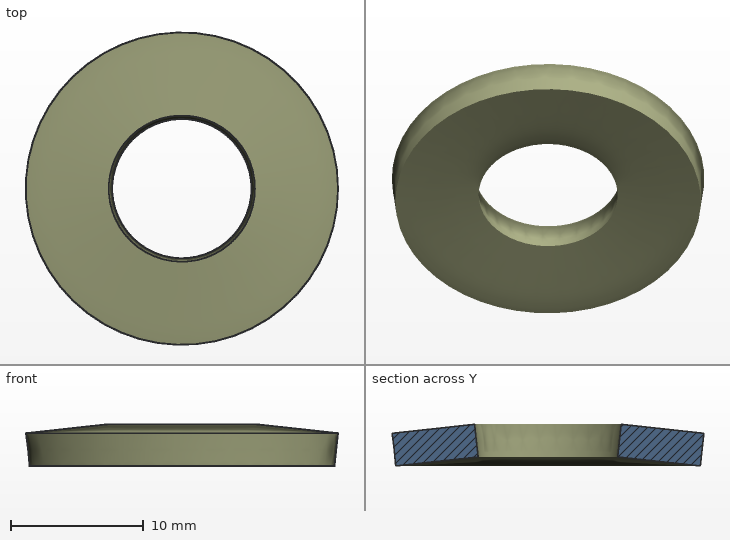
import cadquery as cq

outer_radius = 11.78
top_inner_radius = 5.51
overall_height = 3.18
cone_rise = 0.68

rim_height = overall_height - cone_rise
wall_lean = rim_height * cone_rise / (outer_radius - top_inner_radius)

section = [
    (outer_radius - wall_lean, 0),
    (outer_radius, rim_height),
    (top_inner_radius, overall_height),
    (top_inner_radius - wall_lean, cone_rise),
]

result = cq.Workplane("XZ").polyline(section).close().revolve(360, (0, 0), (0, 1))